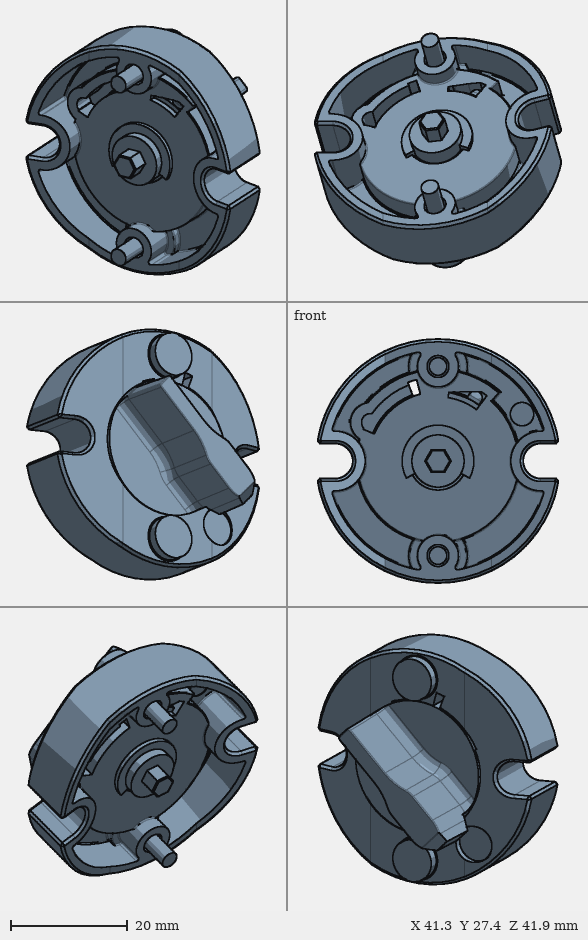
import cadquery as cq
import math

plate_back = 10.55
pocket_floor = 6.7
screw_pad_front = 5.25
disc_front = 2.6
washer_front = 1.8
hub_front = 0.15
hex_tip = -3.1
screw_tip = -5.0
screw_head_back = 12.55
flange_front = 8.4
flange_back = 10.7
undercut_back = 13.15
knob_back = 22.37

beyond = 33.5
overlap = 0.4
tolerance = 0.005
point_on_edge = 0.3

outer_radius = 20.95
bend_x = 9.1
wing_angle = 11.3
rim_chamfer = 0.5
notch_center_x = 17.6
notch_radius = 2.97
notch_wall_radius = 5.1
cavity_radius = 19.0
cavity_corner_radius = 0.4
floor_fillet = 0.2
disc_edge_fillet = 0.15
shortest_rounded_edge = 0.85

screw_z = 16.2
screw_boss_radius = 3.5
screw_pad_radius = 5.03
screw_hole_radius = 1.9
screw_radius = 1.5
screw_head_radius = 3.75
screw_seat_radius = 3.9
screw_seat_back = 10.73

disc_radius = 13.9
wide_disc_radius = 15.85
wide_left_angle = 142.0
wide_right_angle = 48.2
lobe_center = (-11.6, 6.6)
lobe_radius = 3.4

slot_floor = 6.7
slot_outer_radius = 13.95
slot_start_angle = 110.5
slot_end_angle = 157.0
slot_bulb_radius = 1.5
window_outer_radius = 14.4
window_start_angle = 104.8
window_end_angle = 111.0
gap_width = 0.25
detent_inner_radius = 11.0
detent_outer_radius = 14.0
detent_start_angle = 53.2
detent_end_angle = 81.0
detent_crest_angle = 58.0
detent_shoulder_angle = 66.0
detent_shoulder_radius = 13.05
detent_gap_end_angle = 77.5
detent_ledge_front = 3.77
detent_pin_start = 10.48
detent_pin_angle = 59.5
detent_pin_radius = 1.2
detent_pin_depth = 5.03
detent_pin_dome_distance = 12.55

hub_radius = 4.5
hub_bore_radius = 5.0
hub_groove_depth = 0.5
washer_radius = 6.15
washer_start_angle = -28.5
washer_end_angle = 208.5
hex_across_flats = 3.9
hex_chamfer = 0.2

mark_center = (14.4, 8.05)
mark_radius = 2.0
mark_height = 0.1
mark_back = 8.05
recess_center = (-10.7, -12.35)
recess_radius = 3.23
recess_depth = 1.35

knob_axis_angle = 45.0
flange_radius = 11.9
knob_end = 11.85
knob_bar_half_width = 1.68
knob_flare_start = 1.68
knob_neck = (-3.6, 3.1)
knob_shoulder = (-11.3, 3.1)
knob_tip = (-14.3, 1.45)
knob_shoulder_radius = 5.35
knob_neck_radius = 3.77
knob_end_radius = 0.5
knob_tip_chamfer = 1.9
knob_foot_radius = 1.9
knob_edge_fillet = 0.15
knob_draft = 1.0
knob_edge_reach = 1.05


def plane_at(y):
    """Workplane facing -Y: local x is X and local y is Z."""
    return cq.Workplane("XZ", origin=(0, y, 0))


def cylinder(center, radius, front, back):
    """Round prism along Y around a centre given as X and Z."""
    return plane_at(back).center(*center).circle(radius).extrude(back - front)


def polar(radius, angle):
    """X and Z of a point at a radius and an angle in degrees."""
    return (radius * math.cos(math.radians(angle)), radius * math.sin(math.radians(angle)))


def sector(inner, outer, start, end, front, back):
    """Part of a ring between two radii and two angles."""
    middle = (start + end) / 2
    return (
        plane_at(back)
        .moveTo(*polar(inner, start))
        .lineTo(*polar(outer, start))
        .threePointArc(polar(outer, middle), polar(outer, end))
        .lineTo(*polar(inner, end))
        .threePointArc(polar(inner, middle), polar(inner, start))
        .close()
        .extrude(back - front)
    )


def notch(radius, side, front, back):
    """Slot with a round inner end, open to the outside at +X or -X."""
    length = outer_radius
    end = cylinder((side * notch_center_x, 0), radius, front, back)
    mouth_x = side * (notch_center_x + length / 2)
    mouth = plane_at(back).center(mouth_x, 0).rect(length, 2 * radius).extrude(back - front)
    return end.union(mouth)


def make_housing_blank():
    """Round plate with both sides bent forward and a notch in each side."""
    drop = (outer_radius - bend_x) * math.tan(math.radians(wing_angle))
    bent_plate = (
        cq.Workplane("XY", origin=(0, 0, -outer_radius))
        .polyline([
            (-outer_radius, -drop), (-bend_x, 0), (bend_x, 0), (outer_radius, -drop),
            (outer_radius, plate_back - drop), (bend_x, plate_back),
            (-bend_x, plate_back), (-outer_radius, plate_back - drop),
        ])
        .close()
        .extrude(2 * outer_radius)
    )
    outline = cylinder((0, 0), outer_radius, -beyond, beyond)
    for side in (-1, 1):
        outline = outline.cut(notch(notch_radius, side, -beyond, beyond))
    mouth_corners = outline.edges("|Y").edges(cq.selectors.BoxSelector(
        (-beyond, -beyond, -notch_radius - overlap), (beyond, beyond, notch_radius + overlap)))
    mouth_corners = [e for e in mouth_corners.vals() if abs(e.Center().x) > notch_center_x + overlap]
    outline = outline.newObject(mouth_corners).chamfer(rim_chamfer)
    blank = bent_plate.intersect(outline)
    rims = blank.edges("not(|Z or |Y)").vals()
    rims += [e for e in blank.edges("|Z").vals() if abs(e.Center().x) > notch_center_x]
    return blank.newObject(rims).chamfer(rim_chamfer)


def make_disc():
    """Raised disc with a wider rim in the upper half and a lobe at its left end."""
    back = pocket_floor + overlap
    disc = cylinder((0, 0), disc_radius, disc_front, back)
    wide = sector(
        disc_radius / 2, wide_disc_radius, wide_right_angle, wide_left_angle, disc_front, back)
    lobe = cylinder(lobe_center, lobe_radius, disc_front, back)
    return disc.union(wide).union(lobe)


def edges_at_depth(body, y):
    """Edges lying flat at one Y level."""
    return [
        e for e in body.edges().vals()
        if abs(e.Center().y - y) < tolerance and e.BoundingBox().ylen < tolerance
    ]


def wall_edges(cavity):
    """Edges where the notch walls and the screw bosses meet the front of the raised disc."""
    walls = [(side * notch_center_x, 0, notch_wall_radius) for side in (-1, 1)]
    walls += [(0, side * screw_z, screw_boss_radius) for side in (-1, 1)]
    edges = []
    for edge in edges_at_depth(cavity, disc_front):
        point = edge.positionAt(point_on_edge)
        if any(abs(math.hypot(point.x - x, point.z - z) - radius) < tolerance for x, z, radius in walls):
            edges.append(edge)
    return edges


def make_cavity():
    """Hollow inside the rim, around the notch walls, screw bosses and raised disc."""
    cavity = cylinder((0, 0), cavity_radius, -beyond, pocket_floor)
    for side in (-1, 1):
        cavity = cavity.cut(notch(notch_wall_radius, side, -beyond, pocket_floor))
        cavity = cavity.cut(cylinder((0, side * screw_z), screw_boss_radius, -beyond, pocket_floor))
    corners = [
        e for e in cavity.edges("|Y").vals()
        if math.hypot(e.Center().x, e.Center().z) > cavity_radius - tolerance
    ]
    cavity = cavity.newObject(corners).fillet(cavity_corner_radius)
    cavity = cavity.cut(make_disc())
    for side in (-1, 1):
        cavity = cavity.cut(
            cylinder((0, side * screw_z), screw_pad_radius, screw_pad_front, pocket_floor))
    edges = cavity.faces(">Y").edges().vals()
    edges += edges_at_depth(cavity, screw_pad_front)
    edges += wall_edges(cavity)
    return cavity.newObject(edges).fillet(floor_fillet)


def round_disc_rim(housing):
    """Soften the front edge of the raised disc, except around the lobe."""
    edges = []
    for edge in edges_at_depth(housing, disc_front):
        point = edge.positionAt(point_on_edge)
        distance = math.hypot(point.x, point.z)
        on_rim = min(abs(distance - disc_radius), abs(distance - wide_disc_radius)) < tolerance
        if edge.geomType() == "LINE" or (on_rim and edge.Length() > shortest_rounded_edge):
            edges.append(edge)
    return housing.newObject(edges).fillet(disc_edge_fillet)


def cut_slots(housing):
    """Long blind slot and detent slot, both open to the back along the edge of the knob flange."""
    gap_outer = flange_radius + gap_width
    slot = sector(flange_radius, slot_outer_radius, slot_start_angle, slot_end_angle, -beyond, slot_floor)
    bulb = cylinder(lobe_center, slot_bulb_radius, -beyond, slot_floor)
    bulb = bulb.cut(cylinder((0, 0), flange_radius, -beyond, slot_floor))
    gap = sector(flange_radius, gap_outer, slot_start_angle, slot_end_angle, -beyond, beyond)
    window = sector(
        flange_radius, window_outer_radius, window_start_angle, window_end_angle, -beyond, beyond)
    detent_slot = (
        plane_at(slot_floor)
        .moveTo(*polar(detent_inner_radius, detent_start_angle))
        .lineTo(*polar(detent_outer_radius, detent_start_angle))
        .lineTo(*polar(detent_outer_radius, detent_crest_angle))
        .lineTo(*polar(detent_shoulder_radius, detent_shoulder_angle))
        .lineTo(*polar(flange_radius, detent_end_angle))
        .lineTo(*polar(detent_inner_radius, detent_end_angle))
        .threePointArc(
            polar(detent_inner_radius, (detent_start_angle + detent_end_angle) / 2),
            polar(detent_inner_radius, detent_start_angle),
        )
        .close()
        .extrude(slot_floor + beyond)
    )
    detent_slot = detent_slot.cut(cylinder((0, 0), flange_radius, detent_ledge_front, slot_floor))
    detent_gap = sector(
        flange_radius, gap_outer, detent_shoulder_angle, detent_gap_end_angle, -beyond, beyond)
    for opening in (slot, bulb, gap, window, detent_slot, detent_gap):
        housing = housing.cut(opening)
    return housing


def make_detent_pin():
    """Round pin pointing outward from the axis, with a domed end."""
    direction = polar(1, detent_pin_angle)
    start = polar(detent_pin_start, detent_pin_angle)
    dome = polar(detent_pin_dome_distance, detent_pin_angle)
    shank = cq.Workplane(cq.Solid.makeCylinder(
        detent_pin_radius,
        detent_pin_dome_distance - detent_pin_start,
        cq.Vector(start[0], detent_pin_depth, start[1]),
        cq.Vector(direction[0], 0, direction[1]),
    ))
    ball = cq.Workplane().sphere(detent_pin_radius).translate((dome[0], detent_pin_depth, dome[1]))
    return shank.union(ball)


def make_screws():
    """Two screws through the bosses, each with a round head on a low seat at the back."""
    screws = cq.Workplane()
    for side in (-1, 1):
        center = (0, side * screw_z)
        screws = screws.add(cylinder(center, screw_radius, screw_tip, screw_head_back))
        screws = screws.add(cylinder(center, screw_seat_radius, plate_back - overlap, screw_seat_back))
        screws = screws.add(cylinder(center, screw_head_radius, plate_back, screw_head_back))
    return screws.combine()


def make_hub():
    """Round hub with a partial washer around it and a hexagonal drive end."""
    hub = cylinder((0, 0), hub_radius, hub_front, plate_back)
    washer = sector(
        hub_radius / 2, washer_radius, washer_start_angle, washer_end_angle, washer_front, plate_back)
    hex_diameter = hex_across_flats / math.cos(math.pi / 6)
    drive = plane_at(plate_back).polygon(6, hex_diameter).extrude(plate_back - hex_tip)
    drive = drive.faces("<Y").chamfer(hex_chamfer)
    return hub.union(washer).union(drive)


def flare_middle():
    """Middle of the arc that leaves the bar tangentially and ends at the neck."""
    run = knob_flare_start - knob_neck[0]
    rise = knob_neck[1] - knob_bar_half_width
    radius = (run ** 2 + rise ** 2) / (2 * rise)
    half_sweep = math.asin(run / radius) / 2
    along = knob_flare_start - radius * math.sin(half_sweep)
    across = knob_bar_half_width + radius * (1 - math.cos(half_sweep))
    return (along, across)


def round_upright_edges(body, position, radius):
    """Fillet the two upright edges at a distance along X, on both sides of the knob."""
    along, across = position
    edges = [
        e for e in body.edges().vals()
        if abs(e.Center().x - along) < knob_edge_reach
        and abs(abs(e.Center().z) - across) < knob_edge_reach
        and e.BoundingBox().ylen > (knob_back - flange_back) / 2
    ]
    return body.newObject(edges).fillet(radius)


def make_knob():
    """Drafted bar flaring through a neck into a blunt pointed head, on a round flange."""
    middle = flare_middle()
    outward = cq.Plane(origin=(0, flange_back, 0), xDir=(1, 0, 0), normal=(0, 1, 0))
    outline = (
        cq.Workplane(outward)
        .moveTo(knob_end, knob_bar_half_width)
        .lineTo(knob_flare_start, knob_bar_half_width)
        .threePointArc(middle, knob_neck)
        .lineTo(*knob_shoulder)
        .lineTo(*knob_tip)
        .lineTo(knob_tip[0], -knob_tip[1])
        .lineTo(knob_shoulder[0], -knob_shoulder[1])
        .lineTo(knob_neck[0], -knob_neck[1])
        .threePointArc((middle[0], -middle[1]), (knob_flare_start, -knob_bar_half_width))
        .lineTo(knob_end, -knob_bar_half_width)
        .close()
    )
    knob = outline.extrude(knob_back - flange_back, taper=knob_draft)
    knob = round_upright_edges(knob, knob_shoulder, knob_shoulder_radius)
    knob = round_upright_edges(knob, knob_neck, knob_neck_radius)
    knob = round_upright_edges(knob, (knob_end, knob_bar_half_width), knob_end_radius)
    knob = knob.faces("<X").edges(">Y").chamfer(knob_tip_chamfer)
    knob = knob.faces(">Y").edges().fillet(knob_edge_fillet)
    base = cylinder((0, 0), outer_radius, flange_front, flange_back)
    knob = base.union(knob)
    inside = outer_radius - overlap
    foot_box = cq.selectors.BoxSelector(
        (-inside, flange_back - tolerance, -inside), (inside, flange_back + tolerance, inside))
    knob = knob.edges(foot_box).fillet(knob_foot_radius)
    foot_ring = cylinder((0, 0), 2 * outer_radius, -beyond, undercut_back)
    foot_ring = foot_ring.cut(cylinder((0, 0), flange_radius, -beyond, undercut_back))
    knob = knob.cut(foot_ring)
    return knob.rotate((0, 0, 0), (0, 1, 0), -knob_axis_angle)


housing = make_housing_blank().cut(make_cavity())
housing = round_disc_rim(housing)
housing = cut_slots(housing)
for side in (-1, 1):
    housing = housing.cut(cylinder((0, side * screw_z), screw_hole_radius, -beyond, beyond))
housing = housing.cut(cylinder(recess_center, recess_radius, plate_back - recess_depth, beyond))
housing = housing.cut(cylinder((0, 0), hub_bore_radius, -beyond, disc_front + hub_groove_depth))
housing = housing.union(cylinder(mark_center, mark_radius, pocket_floor - mark_height, mark_back))

result = housing
for part in (make_knob(), make_hub(), make_screws(), make_detent_pin()):
    result = result.union(part)